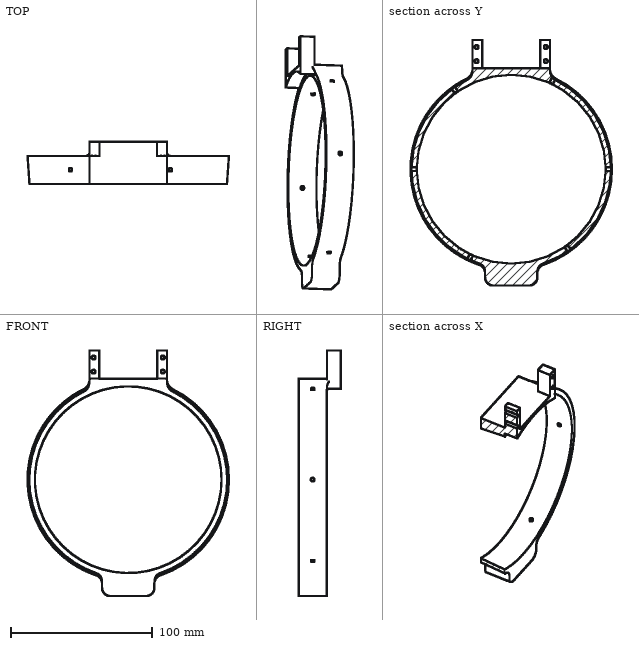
import cadquery as cq
import math

BORE_RADIUS = 66.0
FRONT_RADIUS = 70.0
RING_DEPTH = 20.0
TAPER_ANGLE = 4.0
TAPER_GROWTH = RING_DEPTH * math.tan(math.radians(TAPER_ANGLE))
BACK_RADIUS = FRONT_RADIUS + TAPER_GROWTH

PLATE_HALF_WIDTH = 27.5
PLATE_TOP = FRONT_RADIUS + 1.5
PLATE_DEPTH = 30.0
PLATE_EDGE_RADIUS = 0.5
PLATE_BACK_BLEND = 2.0

POST_WIDTH = 7.0
POST_HEIGHT = 20.0
POST_HOLE_DIAMETER = 2.5
POST_HOLE_INSET = 3.0
POST_HOLE_HEIGHTS = (POST_HEIGHT / 4, 3 * POST_HEIGHT / 4)

LUG_HALF_WIDTH = 18.6
LUG_BOTTOM = -82.5
LUG_CORNER_RADIUS = 6.0

PLATE_SIDE_BLEND = 7.0
LUG_SIDE_BLEND = 6.0

CROSS_HOLE_DIAMETER = 2.5
CROSS_HOLE_REACH = BACK_RADIUS + PLATE_SIDE_BLEND
CROSS_HOLE_ANGLES = (0.0, 125.5, 245.0)

FLAT_ANGLES = CROSS_HOLE_ANGLES[1:]
FLAT_HALF_LENGTH = 3.0
FLAT_DISTANCE = math.sqrt(BACK_RADIUS**2 - FLAT_HALF_LENGTH**2)

SELECT_MARGIN = 0.1


def block(x_min, x_max, y_min, y_max, z_min, z_max):
    """Box given by its limits."""
    size = (x_max - x_min, y_max - y_min, z_max - z_min)
    return cq.Workplane("XY").box(*size, centered=False).translate((x_min, y_min, z_min))


def cylinder_y(radius, depth):
    """Cylinder on the ring axis, from the front plane backwards."""
    return cq.Workplane("XZ").circle(radius).extrude(-depth)


def tapered_disc(front_radius):
    """Solid disc as deep as the ring that widens towards the back."""
    back_radius = front_radius + TAPER_GROWTH
    profile = [(0, 0), (front_radius, 0), (back_radius, RING_DEPTH), (0, RING_DEPTH)]
    return cq.Workplane("XY").polyline(profile).close().revolve(360, (0, 0, 0), (0, 1, 0))


def make_front_plate():
    """Part of the plate that lies over the ring, with its top side edges rounded."""
    plate = block(-PLATE_HALF_WIDTH, PLATE_HALF_WIDTH, 0, RING_DEPTH, 0, PLATE_TOP)
    return plate.edges("|Y and >Z").fillet(PLATE_EDGE_RADIUS)


def make_lug():
    """Lug with rounded lower corners, reaching up into the solid disc."""
    lug = block(-LUG_HALF_WIDTH, LUG_HALF_WIDTH, 0, RING_DEPTH, LUG_BOTTOM, 0)
    return lug.edges("|Y and <Z").fillet(LUG_CORNER_RADIUS)


def blend_sides(body, half_width, direction, radius):
    """Round the two inside corners between the tapered outside and the sides of the plate or lug.

    The direction is 1 for corners above the ring axis and -1 for corners below it.
    """
    front_height = direction * math.sqrt(FRONT_RADIUS**2 - half_width**2)
    back_height = direction * math.sqrt(BACK_RADIUS**2 - half_width**2)
    low, high = sorted((front_height, back_height))
    corners = []
    for x in (-half_width, half_width):
        box_start = (x - SELECT_MARGIN, -SELECT_MARGIN, low - SELECT_MARGIN)
        box_end = (x + SELECT_MARGIN, RING_DEPTH + SELECT_MARGIN, high + SELECT_MARGIN)
        selector = cq.selectors.BoxSelector(box_start, box_end, boundingbox=True)
        corners += body.edges(selector).vals()
    return body.newObject(corners).fillet(radius)


def make_front():
    """Solid front part: tapered outside, front plate and lug, blended together."""
    front = tapered_disc(FRONT_RADIUS).union(make_front_plate()).union(make_lug())
    front = blend_sides(front, PLATE_HALF_WIDTH, 1, PLATE_SIDE_BLEND)
    return blend_sides(front, LUG_HALF_WIDTH, -1, LUG_SIDE_BLEND)


def make_back_blends(front):
    """Concave webs between the back face of the ring and the sides of the rear plate.

    Each web stays inside the outline that the front body has at its back face.
    """
    back_face = front.faces(">Y").val()
    outline = cq.Workplane(cq.Solid.extrudeLinear(back_face, cq.Vector(0, PLATE_BACK_BLEND, 0)))
    arc_rise = PLATE_BACK_BLEND * (1 - math.sqrt(0.5))
    arc_middle_y = RING_DEPTH + arc_rise
    webs = cq.Workplane("XY")
    for side in (-1, 1):
        inner = side * PLATE_HALF_WIDTH
        outer = side * (PLATE_HALF_WIDTH + PLATE_BACK_BLEND)
        arc_middle_x = side * (PLATE_HALF_WIDTH + arc_rise)
        web = (
            cq.Workplane("XY")
            .moveTo(inner, RING_DEPTH)
            .lineTo(outer, RING_DEPTH)
            .threePointArc((arc_middle_x, arc_middle_y), (inner, RING_DEPTH + PLATE_BACK_BLEND))
            .close()
            .extrude(PLATE_TOP)
        )
        webs = webs.add(web)
    return webs.combine().intersect(outline)


def make_rear(front):
    """Rear plate and its blends, hollowed underneath along the front circle of the ring."""
    rear = block(-PLATE_HALF_WIDTH, PLATE_HALF_WIDTH, RING_DEPTH, PLATE_DEPTH, 0, PLATE_TOP)
    rear = rear.union(make_back_blends(front))
    return rear.cut(cylinder_y(FRONT_RADIUS, PLATE_DEPTH))


def make_posts():
    """Posts with their two screw holes each, parallel to the ring axis."""
    posts = cq.Workplane("XY")
    for side in (-1, 1):
        x_min, x_max = sorted((side * PLATE_HALF_WIDTH, side * (PLATE_HALF_WIDTH - POST_WIDTH)))
        post = block(x_min, x_max, RING_DEPTH, PLATE_DEPTH, PLATE_TOP, PLATE_TOP + POST_HEIGHT)
        hole_x = side * (PLATE_HALF_WIDTH - POST_HOLE_INSET)
        for height in POST_HOLE_HEIGHTS:
            hole = cylinder_y(POST_HOLE_DIAMETER / 2, PLATE_DEPTH)
            post = post.cut(hole.translate((hole_x, 0, PLATE_TOP + height)))
        posts = posts.add(post)
    return posts.combine()


def cut_cross_holes(body):
    """Drill each cross hole through both walls, halfway along the ring depth."""
    for angle in CROSS_HOLE_ANGLES:
        hole = (
            cq.Workplane("YZ")
            .center(RING_DEPTH / 2, 0)
            .circle(CROSS_HOLE_DIAMETER / 2)
            .extrude(CROSS_HOLE_REACH, both=True)
        )
        body = body.cut(hole.rotate((0, 0, 0), (0, 1, 0), -angle))
    return body


def cut_flats(body):
    """Take the thin sliver off the back rim at each flat."""
    cutter_half_width = 2 * FLAT_HALF_LENGTH
    for angle in FLAT_ANGLES:
        sliver = block(FLAT_DISTANCE, PLATE_TOP, 0, RING_DEPTH, -cutter_half_width, cutter_half_width)
        body = body.cut(sliver.rotate((0, 0, 0), (0, 1, 0), -angle))
    return body


front = make_front()
body = front.union(make_rear(front)).union(make_posts())
body = body.cut(tapered_disc(BORE_RADIUS))
result = cut_flats(cut_cross_holes(body))